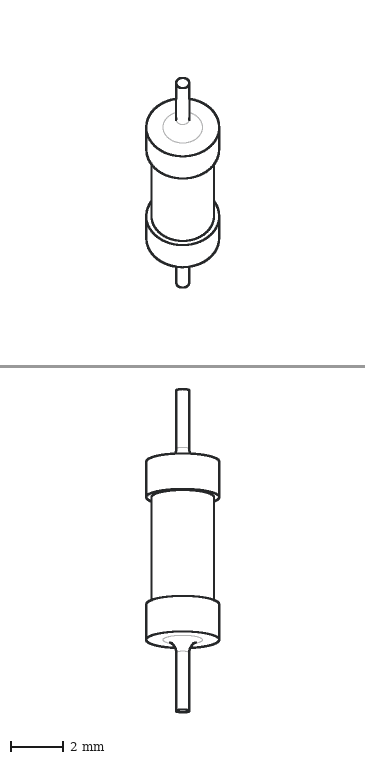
import cadquery as cq
import math

total_length = 12.6
body_length = 7.0
cap_length = 1.4
cap_diameter = 2.8
sleeve_diameter = 2.4
lead_diameter = 0.5
fillet_radius = 0.5


lead_radius = lead_diameter / 2
cap_radius = cap_diameter / 2
sleeve_radius = sleeve_diameter / 2
flare_radius = lead_radius + fillet_radius

lead_end = total_length / 2
cap_outer_face = body_length / 2
cap_inner_face = cap_outer_face - cap_length
flare_end = cap_outer_face + fillet_radius

arc_offset = fillet_radius * (1 - math.sqrt(0.5))
arc_middle_radius = lead_radius + arc_offset
arc_middle_height = cap_outer_face + arc_offset

half_section = (
    cq.Workplane("XZ")
    .moveTo(0, -lead_end)
    .lineTo(lead_radius, -lead_end)
    .lineTo(lead_radius, -flare_end)
    .threePointArc((arc_middle_radius, -arc_middle_height), (flare_radius, -cap_outer_face))
    .lineTo(cap_radius, -cap_outer_face)
    .lineTo(cap_radius, -cap_inner_face)
    .lineTo(sleeve_radius, -cap_inner_face)
    .lineTo(sleeve_radius, cap_inner_face)
    .lineTo(cap_radius, cap_inner_face)
    .lineTo(cap_radius, cap_outer_face)
    .lineTo(flare_radius, cap_outer_face)
    .threePointArc((arc_middle_radius, arc_middle_height), (lead_radius, flare_end))
    .lineTo(lead_radius, lead_end)
    .lineTo(0, lead_end)
    .close()
)

result = half_section.revolve(360, (0, 0, 0), (0, 1, 0))